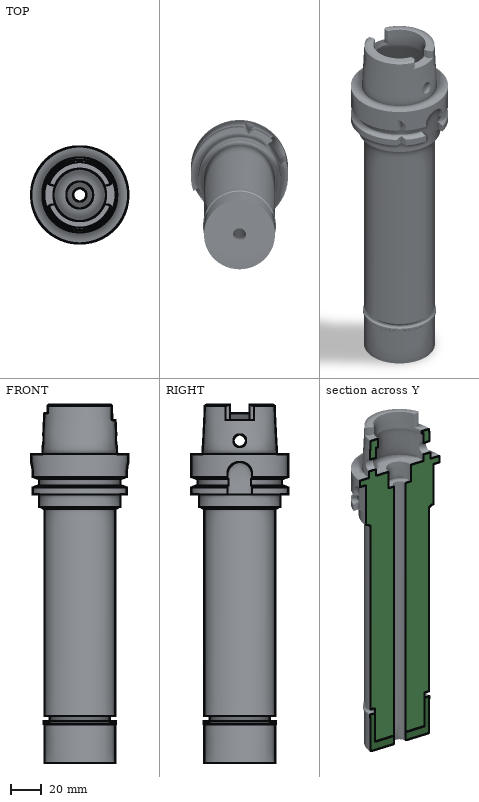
import cadquery as cq
import math


shank_length = 32.0
gauge_diameter = 48.0
gauge_height = 6.3
taper_ratio = 1 / 10
rim_chamfer_width = 1.5
rim_chamfer_height = 0.8

mouth_diameter = 34.0
mouth_depth = 12.0
cavity_diameter = 37.0
cavity_floor_z = 0.0
tube_socket_diameter = 17.5
tube_socket_depth = 12.0
through_hole_diameter = 8.4
cross_hole_diameter = 8.0
cross_hole_z = 8.7

rim_slot_width = 12.5
rim_slot_depth_minus_x = 5.5
rim_slot_depth_plus_x = 10.0
rim_slot_rounding = 3.1

flange_diameter = 63.0
flange_length = 26.0
groove_diameter = 55.0
groove_centre_z = -18.13
groove_outer_width = 7.0
groove_floor_width = 4.0

collar_diameter = 53.0
flange_slot_width = 16.0
flange_slot_centre_z = -13.0
notch_floor_x = -20.0
notch_edge_y = 20.1

collar_end_z = -34.2
collar_cone_diameter = 50.2
tube_start_z = -35.6
tube_diameter = 46.0
tube_end_z = -169.5
neck_diameter = 39.0

nut_top_z = -172.8
nut_bottom_z = -200.0
nut_diameter = tube_diameter
nut_lip_diameter = 47.2
nut_lip_height = 1.6
nut_lip_chamfer_height = 0.6
nut_wall_below_neck = 6.0
neck_end_z = nut_bottom_z + nut_wall_below_neck


def taper_radius(z):
    """Radius of the shank's cone at height z."""
    return (gauge_diameter - (z - gauge_height) * taper_ratio) / 2


def cylinder(diameter, bottom_z, top_z):
    """Cylinder on the Z axis between two heights."""
    return cq.Workplane("XY").workplane(offset=bottom_z).circle(diameter / 2).extrude(top_z - bottom_z)


def holder_blank():
    """Solid of revolution with the whole outside of the holder."""
    chamfer_z = shank_length - rim_chamfer_height
    groove_top_z = groove_centre_z + groove_outer_width / 2
    groove_bottom_z = groove_centre_z - groove_outer_width / 2
    floor_top_z = groove_centre_z + groove_floor_width / 2
    floor_bottom_z = groove_centre_z - groove_floor_width / 2
    profile = [
        (0, shank_length),
        (taper_radius(chamfer_z) - rim_chamfer_width, shank_length),
        (taper_radius(chamfer_z), chamfer_z),
        (taper_radius(0), 0),
        (flange_diameter / 2, 0),
        (flange_diameter / 2, groove_top_z),
        (groove_diameter / 2, floor_top_z),
        (groove_diameter / 2, floor_bottom_z),
        (flange_diameter / 2, groove_bottom_z),
        (flange_diameter / 2, -flange_length),
        (collar_diameter / 2, -flange_length),
        (collar_diameter / 2, collar_end_z),
        (collar_cone_diameter / 2, collar_end_z),
        (tube_diameter / 2, tube_start_z),
        (tube_diameter / 2, tube_end_z),
        (neck_diameter / 2, tube_end_z),
        (neck_diameter / 2, neck_end_z),
        (0, neck_end_z),
    ]
    return cq.Workplane("XZ").polyline(profile).close().revolve(360, (0, 0), (0, 1))


def shank_bore():
    """Stepped bore: mouth, wider cavity, socket and through hole."""
    cavity_top_z = shank_length - mouth_depth
    bore = cylinder(mouth_diameter, cavity_top_z, shank_length)
    bore = bore.union(cylinder(cavity_diameter, cavity_floor_z, cavity_top_z))
    bore = bore.union(cylinder(tube_socket_diameter, cavity_floor_z - tube_socket_depth, cavity_floor_z))
    return bore.union(cylinder(through_hole_diameter, neck_end_z, cavity_floor_z))


def cross_hole():
    """Round hole along X through both walls of the shank."""
    return (
        cq.Workplane("YZ")
        .center(0, cross_hole_z)
        .circle(cross_hole_diameter / 2)
        .extrude(flange_diameter / 2, both=True)
    )


def rim_slot(side, depth):
    """Slot in the rim on one X side whose walls flare out in a round to the outside of the rim."""
    half_width = rim_slot_width / 2
    flare_half_width = half_width + rim_slot_rounding
    outer_x = math.sqrt(taper_radius(shank_length) ** 2 - flare_half_width**2)
    round_start_x = outer_x - rim_slot_rounding
    end_x = flange_diameter / 2
    round_mid = rim_slot_rounding * math.sqrt(0.5)
    mid_x = round_start_x + round_mid
    mid_y = flare_half_width - round_mid
    return (
        cq.Workplane("XY")
        .workplane(offset=shank_length - depth)
        .moveTo(0, -half_width)
        .lineTo(side * round_start_x, -half_width)
        .threePointArc((side * mid_x, -mid_y), (side * outer_x, -flare_half_width))
        .lineTo(side * end_x, -flare_half_width)
        .lineTo(side * end_x, flare_half_width)
        .lineTo(side * outer_x, flare_half_width)
        .threePointArc((side * mid_x, mid_y), (side * round_start_x, half_width))
        .lineTo(0, half_width)
        .close()
        .extrude(depth)
    )


def flange_cut(centre_y, floor_x):
    """Round-topped slot, open at the bottom of the flange, cut from floor_x outwards along X."""
    half_width = flange_slot_width / 2
    reach = math.copysign(flange_diameter / 2, floor_x) - floor_x
    return (
        cq.Workplane("YZ")
        .workplane(offset=floor_x)
        .moveTo(centre_y - half_width, -flange_length)
        .lineTo(centre_y - half_width, flange_slot_centre_z)
        .threePointArc(
            (centre_y, flange_slot_centre_z + half_width),
            (centre_y + half_width, flange_slot_centre_z),
        )
        .lineTo(centre_y + half_width, -flange_length)
        .close()
        .extrude(reach)
    )


def make_holder():
    """Shank, flange, tube and neck in one piece."""
    holder = holder_blank().cut(shank_bore()).cut(cross_hole())
    for side, depth in ((-1, rim_slot_depth_minus_x), (1, rim_slot_depth_plus_x)):
        holder = holder.cut(rim_slot(side, depth))
        holder = holder.cut(flange_cut(0, side * collar_diameter / 2))
    notch_centre_y = notch_edge_y + flange_slot_width / 2
    return holder.cut(flange_cut(notch_centre_y, notch_floor_x))


def make_nut():
    """Round nut with a lip at its top, a recess for the neck and a hole through its end wall."""
    lip_bottom_z = nut_top_z - nut_lip_height
    profile = [
        (0, nut_top_z),
        (nut_lip_diameter / 2, nut_top_z),
        (nut_lip_diameter / 2, lip_bottom_z),
        (nut_diameter / 2, lip_bottom_z - nut_lip_chamfer_height),
        (nut_diameter / 2, nut_bottom_z),
        (0, nut_bottom_z),
    ]
    nut = cq.Workplane("XZ").polyline(profile).close().revolve(360, (0, 0), (0, 1))
    nut = nut.cut(cylinder(neck_diameter, neck_end_z, nut_top_z))
    return nut.cut(cylinder(through_hole_diameter, nut_bottom_z, neck_end_z))


holder = make_holder()
nut = make_nut()

result = cq.Compound.makeCompound([holder.val(), nut.val()])